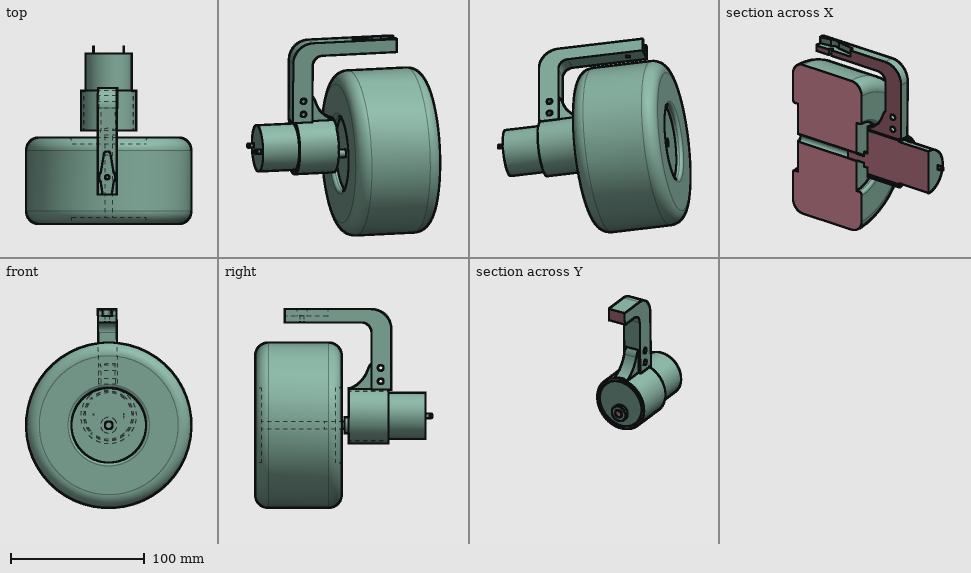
import cadquery as cq
import math


OVERALL_HEIGHT = 149.0

TILT_ANGLE = -0.8

WHEEL_DIA = 124.0
WHEEL_WIDTH = 65.0
WHEEL_EDGE_ROUND = 10.0
RECESS_DIA = 55.9
RECESS_DEPTH = 4.9
RECESS_EDGE_ROUND = 2.5
SHAFT_DIA = 6.0

SHAFT_OFFSET = 7.0
GEARBOX_DIA = 36.8
GEARBOX_LENGTH = 30.0
WHEEL_TO_GEARBOX_GAP = 5.0
GEARBOX_FRONT_Y = WHEEL_WIDTH + WHEEL_TO_GEARBOX_GAP
GEARBOX_REAR_Y = GEARBOX_FRONT_Y + GEARBOX_LENGTH
CAN_DIA = 34.9
CAN_LENGTH = 27.7
CAN_REAR_Y = GEARBOX_REAR_Y + CAN_LENGTH
BOSS_DIA = 12.0
BOSS_LENGTH = 3.1
SHAFT_LENGTH = 15.0

TERMINAL_THICKNESS = 0.5
TERMINAL_WIDTH = 3.3
TERMINAL_LENGTH = 5.0
TERMINAL_SPACING = 22.6
TERMINAL_CORNER_ROUND = 1.5
TERMINAL_HOLE_DIA = 1.0
TERMINAL_HOLE_FROM_TIP = 1.5

RING_DIA = 41.5
RING_BORE = 37.4
ARM_WIDTH = 14.2
TILT_RISE = ARM_WIDTH / 2 * math.sin(math.radians(-TILT_ANGLE))
ARM_TOP_Z = (OVERALL_HEIGHT - WHEEL_DIA / 2 - TILT_RISE) / math.cos(math.radians(TILT_ANGLE))
ARM_LENGTH = 79.8
ARM_THICKNESS = 10.0
COLUMN_DEPTH = 15.0
COLUMN_OVERHANG = 2.1
COLUMN_REAR_Y = GEARBOX_REAR_Y + COLUMN_OVERHANG
COLUMN_FRONT_Y = COLUMN_REAR_Y - COLUMN_DEPTH
ARM_END_Y = COLUMN_REAR_Y - ARM_LENGTH
OUTER_BEND_RADIUS = 15.0
INNER_BEND_RADIUS = 7.5
SIDE_HOLE_DIA = 4.2
SIDE_HOLE_SPACING = 10.0
LOWER_SIDE_HOLE_Z = 32.9
SIDE_HOLE_FROM_REAR = 8.0

GUSSET_WIDTH = 10.7
GUSSET_TOP_Z = 46.0
GUSSET_UPPER_BULGE = (85.2, 43.6)
GUSSET_INFLECTION = (84.2, 41.1)
GUSSET_LOWER_BULGE = (78.7, 32.5)

SLOT_DEPTH = 5.0
SLOT_HOLE_DIA = 3.1
SLOT_POCKET_DIA = 12.0
SLOT_CENTER_FROM_END = 13.0
SLOT_MIDDLE_WIDTH = 10.7
SLOT_MOUTH_WIDTH = 6.9
SLOT_ROUND_END_DIA = 5.0
SLOT_ROUND_END_REACH = 16.8


def cylinder_y(diameter, start_y, end_y, center_z=0.0):
    """Cylinder along Y between two positions, above or on the wheel axis."""
    axis_start = cq.Vector(0, start_y, center_z)
    solid = cq.Solid.makeCylinder(diameter / 2, end_y - start_y, axis_start, cq.Vector(0, 1, 0))
    return cq.Workplane(obj=solid)


def tilted(body):
    return body.rotate((0, 0, 0), (0, 1, 0), TILT_ANGLE)


def make_wheel():
    wheel = cylinder_y(WHEEL_DIA, 0, WHEEL_WIDTH).edges().fillet(WHEEL_EDGE_ROUND)
    recesses = (
        (0, RECESS_DEPTH),
        (WHEEL_WIDTH - RECESS_DEPTH, WHEEL_WIDTH),
    )
    for start_y, end_y in recesses:
        wheel = wheel.cut(cylinder_y(RECESS_DIA, start_y, end_y))
    for face in ("<Y", ">Y"):
        recess_rim = wheel.faces(face).edges(cq.selectors.RadiusNthSelector(0))
        wheel = recess_rim.fillet(RECESS_EDGE_ROUND)
    return wheel.cut(cylinder_y(SHAFT_DIA, 0, WHEEL_WIDTH))


def make_motor():
    gearbox = cylinder_y(GEARBOX_DIA, GEARBOX_FRONT_Y, GEARBOX_REAR_Y, SHAFT_OFFSET)
    can = cylinder_y(CAN_DIA, GEARBOX_REAR_Y, CAN_REAR_Y, SHAFT_OFFSET)
    boss_front_y = GEARBOX_FRONT_Y - BOSS_LENGTH
    boss = cylinder_y(BOSS_DIA, boss_front_y, GEARBOX_FRONT_Y)
    shaft = cylinder_y(SHAFT_DIA, boss_front_y - SHAFT_LENGTH, boss_front_y)
    return tilted(gearbox.union(can).union(boss).union(shaft))


def make_terminal(center_x):
    tip_y = CAN_REAR_Y + TERMINAL_LENGTH
    blade = (
        cq.Workplane("XY")
        .box(TERMINAL_THICKNESS, TERMINAL_LENGTH, TERMINAL_WIDTH)
        .faces(">Y")
        .edges("|X")
        .fillet(TERMINAL_CORNER_ROUND)
        .translate((center_x, tip_y - TERMINAL_LENGTH / 2, SHAFT_OFFSET))
    )
    hole = (
        cq.Workplane("YZ")
        .center(tip_y - TERMINAL_HOLE_FROM_TIP, SHAFT_OFFSET)
        .circle(TERMINAL_HOLE_DIA / 2)
        .extrude(TERMINAL_SPACING, both=True)
    )
    return tilted(blade.cut(hole))


def ring_height_at(width):
    """Height at which the sides of an upright of this width meet the ring."""
    return SHAFT_OFFSET + math.sqrt((RING_DIA / 2) ** 2 - (width / 2) ** 2)


def make_arm():
    """L-shaped arm, reaching down to where its sides meet the ring."""
    bottom_z = ring_height_at(ARM_WIDTH)
    underside_z = ARM_TOP_Z - ARM_THICKNESS
    profile = [
        (COLUMN_FRONT_Y, bottom_z),
        (COLUMN_REAR_Y, bottom_z),
        (COLUMN_REAR_Y, ARM_TOP_Z),
        (ARM_END_Y, ARM_TOP_Z),
        (ARM_END_Y, underside_z),
        (COLUMN_FRONT_Y, underside_z),
    ]
    arm = cq.Workplane("YZ").polyline(profile).close().extrude(ARM_WIDTH / 2, both=True)
    arm = arm.edges("|X and >Y and >Z").fillet(OUTER_BEND_RADIUS)
    inner_corner = cq.selectors.NearestToPointSelector((0, COLUMN_FRONT_Y, underside_z))
    arm = arm.edges("|X").edges(inner_corner).fillet(INNER_BEND_RADIUS)
    return arm.cut(make_side_holes()).cut(make_slot())


def make_side_holes():
    hole_y = COLUMN_REAR_Y - SIDE_HOLE_FROM_REAR
    centers = [(hole_y, LOWER_SIDE_HOLE_Z + i * SIDE_HOLE_SPACING) for i in range(2)]
    return (
        cq.Workplane("YZ")
        .pushPoints(centers)
        .circle(SIDE_HOLE_DIA / 2)
        .extrude(ARM_WIDTH, both=True)
    )


def make_slot():
    center_y = ARM_END_Y + SLOT_CENTER_FROM_END
    round_end_y = center_y + SLOT_ROUND_END_REACH
    round_end_radius = SLOT_ROUND_END_DIA / 2
    plane = cq.Workplane("XY", origin=(0, 0, ARM_TOP_Z))
    tapers = (
        plane.moveTo(-SLOT_MOUTH_WIDTH / 2, ARM_END_Y)
        .lineTo(-SLOT_MIDDLE_WIDTH / 2, center_y)
        .lineTo(-round_end_radius, round_end_y)
        .threePointArc((0, round_end_y + round_end_radius), (round_end_radius, round_end_y))
        .lineTo(SLOT_MIDDLE_WIDTH / 2, center_y)
        .lineTo(SLOT_MOUTH_WIDTH / 2, ARM_END_Y)
        .close()
        .extrude(-SLOT_DEPTH)
    )
    pocket = plane.center(0, center_y).circle(SLOT_POCKET_DIA / 2).extrude(-SLOT_DEPTH)
    hole = plane.center(0, center_y).circle(SLOT_HOLE_DIA / 2).extrude(-ARM_THICKNESS)
    return tapers.union(pocket).union(hole)


def make_gusset():
    """Curved gusset, run down into the ring so that no gap is left."""
    return (
        cq.Workplane("YZ")
        .moveTo(COLUMN_FRONT_Y, SHAFT_OFFSET)
        .lineTo(COLUMN_FRONT_Y, GUSSET_TOP_Z)
        .threePointArc(GUSSET_UPPER_BULGE, GUSSET_INFLECTION)
        .threePointArc(GUSSET_LOWER_BULGE, (GEARBOX_FRONT_Y, ring_height_at(GUSSET_WIDTH)))
        .lineTo(GEARBOX_FRONT_Y, SHAFT_OFFSET)
        .close()
        .extrude(GUSSET_WIDTH / 2, both=True)
    )


def make_bracket():
    ring = cylinder_y(RING_DIA, GEARBOX_FRONT_Y, GEARBOX_REAR_Y, SHAFT_OFFSET)
    bore = cylinder_y(RING_BORE, GEARBOX_FRONT_Y, GEARBOX_REAR_Y, SHAFT_OFFSET)
    bracket = ring.union(make_arm()).union(make_gusset())
    return tilted(bracket.cut(bore))


wheel = make_wheel()
motor = make_motor()
bracket = make_bracket()
terminals = [make_terminal(side * TERMINAL_SPACING / 2) for side in (-1, 1)]

result = cq.Compound.makeCompound(
    [wheel.val(), motor.val(), bracket.val(), *[terminal.val() for terminal in terminals]]
)